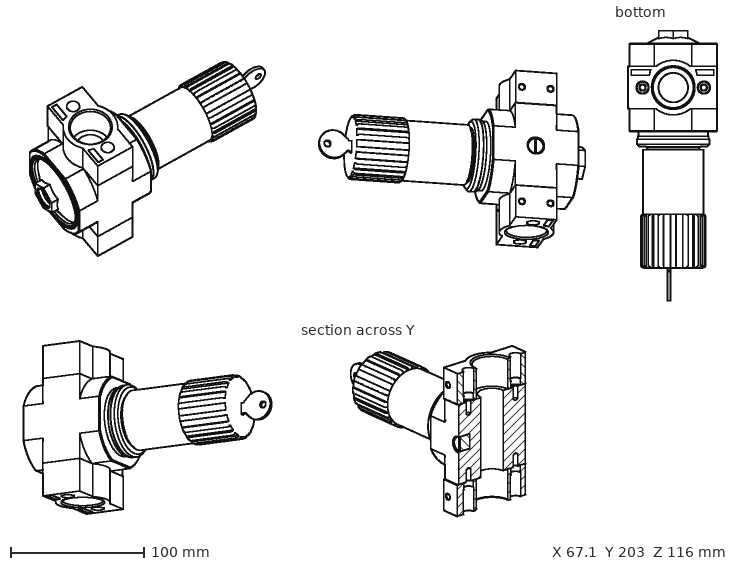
import cadquery as cq
import math


BODY_HALF_X = 33.0
BODY_HALF_Z = 32.7
BODY_HALF_LENGTH = 33.2
BODY_ROUND_RADIUS = 35.6
BODY_EDGE_CHAMFER = 0.8
BAND_HALF_WIDTH = 15.85
FLOW_BORE_DIAMETER = 22.0
COLLAR_DIAMETER = 52.4
COLLAR_TOP_Y = 36.4

OVERALL_HEIGHT = 116.0
PLATE_OVERHANG = 1.1
PLATE_BOSS_RADIUS = 20.5
PLATE_THICKNESS = OVERALL_HEIGHT / 2 - BODY_HALF_Z
PORT_THREAD_DIAMETER = 30.29
PORT_CHAMFER = 1.2
BOLT_OFFSET_X = 23.0
BOLT_COUNTERBORE_DIAMETER = 9.6
BOLT_COUNTERBORE_DEPTH = 20.0
BOLT_BORE_DIAMETER = 8.5
SIDE_HOLE_OFFSET_Y = 11.0
LABEL_OUTER_X = 31.5
LABEL_OUTER_X_SHORT = 30.3
LABEL_INNER_X_TOP = 18.1
LABEL_INNER_X_BOTTOM = 16.8
LABEL_TOP_Y = -9.2
LABEL_BOTTOM_Y = -13.5
LABEL_DEPTH = 0.3

TAP_DIAMETER = 4.13
TAP_MOUTH_DIAMETER = 5.1
TAP_DEPTH = 10.0
DRILL_HALF_ANGLE = math.radians(59)

GAUGE_DIAMETER = 11.45
GAUGE_MOUTH_DIAMETER = 13.16
GAUGE_CHAMFER = (GAUGE_MOUTH_DIAMETER - GAUGE_DIAMETER) / 2
GAUGE_PLUG_LENGTH = 10.0
GAUGE_SLOT_LENGTH = 9.5
GAUGE_SLOT_WIDTH = 1.2
GAUGE_SLOT_DEPTH = 1.0

CAP_RADIUS = 30.5
CAP_EDGE_CHAMFER = 0.6
CAP_RIM_INNER_RADIUS = 28.6
CAP_CONE_BASE_RADIUS = 27.4
CAP_CONE_BASE_Y = -29.3
CAP_CONE_SLOPE = 0.51
CAP_BACK_Y = -25.0
HEX_ACROSS_FLATS = 22.0
HEX_END_Y = -42.8
HEX_PORT_MOUTH_RADIUS = 8.5
HEX_PORT_RADIUS = 7.5
HEX_PORT_DEPTH = 4.0

NUT_RADIUS = 27.35
NUT_TOP_Y = 44.4
NUT_TOP_RADIUS = 25.4
NUT_LIP_Y = 43.7
NUT_LIP_RADIUS = 26.0
NUT_SHOULDER_Y = 42.4
NUT_STEP_Y = 38.9
NUT_SKIRT_RADIUS = 26.7
NUT_TAPER_Y = 37.6
NUT_BASE_RADIUS = 26.5

BONNET_RADIUS = 22.75
BONNET_START_Y = 46.6
NECK_RADIUS = 19.5
NECK_BASE_RADIUS = 20.7
NECK_CONE_TOP_Y = 45.3

KNOB_START_Y = 95.1
KNOB_END_Y = 135.5
KNOB_RADIUS = 24.4
KNOB_FRONT_EDGE_RADIUS = 2.1
KNOB_END_EDGE_RADIUS = 2.6
GROOVE_COUNT = 16
GROOVE_FLOOR_RADIUS = 22.7
GROOVE_WIDTH = 5.3

KEY_END_Y = 160.2
KEY_HEAD_RADIUS = 10.9
KEY_HEAD_Y = KEY_END_Y - KEY_HEAD_RADIUS
KEY_CENTER_X = -3.15
KEY_THICKNESS = 2.5
KEY_HOLE_DIAMETER = 5.0
KEY_HOLE_Y = 153.9
KEY_NECK_TOP_Z = 3.4
KEY_NECK_BOTTOM_Z = -4.5
KEY_SHOULDER_BOTTOM_Z = -5.6
KEY_SHOULDER_LENGTH = 1.6


def cylinder_y(radius, y_start, y_end):
    """Solid cylinder on the regulator axis."""
    base = cq.Workplane("XZ", origin=(0, y_start, 0))
    return base.circle(radius).extrude(y_start - y_end)


def revolve_y(points):
    """Solid turned about the regulator axis from (radius, y) points."""
    return cq.Workplane("XY").polyline(points).close().revolve(360, (0, 0), (0, 1))


def box_between(low, high):
    """Axis-aligned box between two opposite corners."""
    size = [b - a for a, b in zip(low, high)]
    return cq.Workplane("XY").box(*size, centered=False).translate(low)


def chamfered_cutter(plane, radius, mouth_radius, depth, tip=0.0):
    """Hole cutter along -normal of the plane, with a 45 degree mouth and an optional drill tip."""
    chamfer = mouth_radius - radius
    profile = [(0, 0), (mouth_radius, 0), (radius, -chamfer), (radius, -depth), (0, -depth - tip)]
    turned = cq.Workplane("XZ").polyline(profile).close().revolve(360, (0, 0), (0, 1))
    return cq.Workplane(turned.val().moved(cq.Location(plane)))


def tapped_hole_cutter(plane):
    """Cutter for an M5 tapped hole with a conical drill end."""
    radius = TAP_DIAMETER / 2
    tip = radius / math.tan(DRILL_HALF_ANGLE)
    return chamfered_cutter(plane, radius, TAP_MOUTH_DIAMETER / 2, TAP_DEPTH, tip)


def plane_facing(normal, origin):
    """Plane at an origin with the given outward normal."""
    return cq.Plane(origin=origin, xDir=(0, 1, 0), normal=normal)


def make_housing():
    """Flattened round body crossed by a square band, with its collar and bores."""
    barrel = cylinder_y(BODY_ROUND_RADIUS, -BODY_HALF_LENGTH, BODY_HALF_LENGTH)
    envelope = cq.Workplane("XY").box(2 * BODY_HALF_X, 2 * BODY_HALF_LENGTH, 2 * BODY_HALF_Z)
    barrel = barrel.intersect(envelope).faces("<Y or >Y").edges().chamfer(BODY_EDGE_CHAMFER)
    band = cq.Workplane("XY").box(2 * BODY_HALF_X, 2 * BAND_HALF_WIDTH, 2 * BODY_HALF_Z)
    collar = cylinder_y(COLLAR_DIAMETER / 2, 0, COLLAR_TOP_Y)
    housing = barrel.union(band).union(collar)

    flow_bore = cq.Workplane("XY").circle(FLOW_BORE_DIAMETER / 2).extrude(BODY_HALF_Z, both=True)
    cap_pocket = revolve_y([
        (0, CAP_BACK_Y),
        (CAP_RADIUS, CAP_BACK_Y),
        (CAP_RADIUS, CAP_EDGE_CHAMFER - BODY_HALF_LENGTH),
        (CAP_RADIUS + CAP_EDGE_CHAMFER, -BODY_HALF_LENGTH),
        (0, -BODY_HALF_LENGTH),
    ])
    gauge_port = chamfered_cutter(
        plane_facing((-1, 0, 0), (-BODY_HALF_X, 0, 0)),
        GAUGE_DIAMETER / 2,
        GAUGE_MOUTH_DIAMETER / 2,
        GAUGE_CHAMFER + GAUGE_PLUG_LENGTH,
    )
    housing = housing.cut(flow_bore).cut(cap_pocket).cut(gauge_port)
    for side in (-1, 1):
        for x in (-BOLT_OFFSET_X, BOLT_OFFSET_X):
            plane = plane_facing((0, 0, side), (x, 0, side * BODY_HALF_Z))
            housing = housing.cut(tapped_hole_cutter(plane))
    return housing


def label_recess(side, outer_x):
    """Shallow label field beside the port; its inner end slants along the boss."""
    outline = [
        (side * outer_x, LABEL_TOP_Y),
        (side * LABEL_INNER_X_TOP, LABEL_TOP_Y),
        (side * LABEL_INNER_X_BOTTOM, LABEL_BOTTOM_Y),
        (side * outer_x, LABEL_BOTTOM_Y),
    ]
    top = cq.Workplane("XY", origin=(0, 0, OVERALL_HEIGHT / 2))
    return top.polyline(outline).close().extrude(-LABEL_DEPTH)


def make_upper_plate():
    """Connecting plate on the +Z side, with its threaded port and bolt holes."""
    top_z = OVERALL_HEIGHT / 2
    plate = box_between(
        (-BODY_HALF_X - PLATE_OVERHANG, -BAND_HALF_WIDTH, BODY_HALF_Z),
        (BODY_HALF_X, BAND_HALF_WIDTH, top_z),
    )
    base = cq.Workplane("XY", origin=(0, 0, BODY_HALF_Z))
    plate = plate.union(base.circle(PLATE_BOSS_RADIUS).extrude(PLATE_THICKNESS))

    port_radius = PORT_THREAD_DIAMETER / 2
    port_plane = plane_facing((0, 0, 1), (0, 0, top_z))
    plate = plate.cut(
        chamfered_cutter(port_plane, port_radius, port_radius + PORT_CHAMFER, PLATE_THICKNESS)
    )
    plate = (
        plate.faces(">Z").workplane(origin=(0, 0, top_z))
        .pushPoints([(-BOLT_OFFSET_X, 0), (BOLT_OFFSET_X, 0)])
        .cboreHole(BOLT_BORE_DIAMETER, BOLT_COUNTERBORE_DIAMETER, BOLT_COUNTERBORE_DEPTH)
    )
    for y in (-SIDE_HOLE_OFFSET_Y, SIDE_HOLE_OFFSET_Y):
        origin = (-BODY_HALF_X - PLATE_OVERHANG, y, BODY_HALF_Z + PLATE_THICKNESS / 2)
        plate = plate.cut(tapped_hole_cutter(plane_facing((-1, 0, 0), origin)))
    return plate.cut(label_recess(-1, LABEL_OUTER_X)).cut(label_recess(1, LABEL_OUTER_X_SHORT))


def make_gauge_plug():
    """Round plug with a screwdriver slot, seated below the mouth of the gauge port."""
    face_x = -BODY_HALF_X + GAUGE_CHAMFER
    plug = cq.Workplane("YZ", origin=(face_x, 0, 0)).circle(GAUGE_DIAMETER / 2).extrude(GAUGE_PLUG_LENGTH)
    slot = box_between(
        (face_x, -GAUGE_SLOT_WIDTH / 2, -GAUGE_SLOT_LENGTH / 2),
        (face_x + GAUGE_SLOT_DEPTH, GAUGE_SLOT_WIDTH / 2, GAUGE_SLOT_LENGTH / 2),
    )
    return plug.cut(slot)


def make_cap():
    """Dished bottom cap whose central cone carries a hexagon with a blind port."""
    face_y = -BODY_HALF_LENGTH
    hex_inner_radius = HEX_ACROSS_FLATS / 2
    cone_tip_y = CAP_CONE_BASE_Y - CAP_CONE_SLOPE * (CAP_CONE_BASE_RADIUS - hex_inner_radius)
    cap = revolve_y([
        (0, CAP_BACK_Y),
        (CAP_RADIUS, CAP_BACK_Y),
        (CAP_RADIUS, face_y + CAP_EDGE_CHAMFER),
        (CAP_RADIUS - CAP_EDGE_CHAMFER, face_y),
        (CAP_RIM_INNER_RADIUS, face_y),
        (CAP_CONE_BASE_RADIUS, face_y + CAP_RIM_INNER_RADIUS - CAP_CONE_BASE_RADIUS),
        (CAP_CONE_BASE_RADIUS, CAP_CONE_BASE_Y),
        (hex_inner_radius, cone_tip_y),
        (0, cone_tip_y),
    ])
    hex_corner_diameter = HEX_ACROSS_FLATS / math.cos(math.pi / 6)
    hexagon = (
        cq.Workplane("XZ", origin=(0, HEX_END_Y, 0))
        .transformed(rotate=(0, 0, 90))
        .polygon(6, hex_corner_diameter)
        .extrude(HEX_END_Y - CAP_CONE_BASE_Y)
    )
    port_plane = cq.Plane(origin=(0, HEX_END_Y, 0), xDir=(1, 0, 0), normal=(0, -1, 0))
    port = chamfered_cutter(port_plane, HEX_PORT_RADIUS, HEX_PORT_MOUTH_RADIUS, HEX_PORT_DEPTH)
    return cap.union(hexagon).cut(port)


def make_ring_nut():
    """Stepped ring nut that clamps the bonnet to the housing collar."""
    return revolve_y([
        (NECK_BASE_RADIUS, COLLAR_TOP_Y),
        (NUT_BASE_RADIUS, COLLAR_TOP_Y),
        (NUT_SKIRT_RADIUS, NUT_TAPER_Y),
        (NUT_SKIRT_RADIUS, NUT_STEP_Y),
        (NUT_RADIUS, NUT_STEP_Y),
        (NUT_RADIUS, NUT_SHOULDER_Y),
        (NUT_LIP_RADIUS, NUT_LIP_Y),
        (NUT_TOP_RADIUS, NUT_TOP_Y),
        (NECK_BASE_RADIUS, NUT_TOP_Y),
    ])


def make_bonnet():
    """Spring bonnet with a narrower neck that passes through the ring nut."""
    return revolve_y([
        (0, COLLAR_TOP_Y),
        (NECK_BASE_RADIUS, COLLAR_TOP_Y),
        (NECK_BASE_RADIUS, NUT_TOP_Y),
        (NECK_RADIUS, NECK_CONE_TOP_Y),
        (NECK_RADIUS, BONNET_START_Y),
        (BONNET_RADIUS, BONNET_START_Y),
        (BONNET_RADIUS, KNOB_START_Y),
        (0, KNOB_START_Y),
    ])


def make_knob():
    """Round-edged knob with lengthwise grip grooves all around."""
    knob = cylinder_y(KNOB_RADIUS, KNOB_START_Y, KNOB_END_Y)
    knob = knob.faces("<Y").edges().fillet(KNOB_FRONT_EDGE_RADIUS)
    knob = knob.faces(">Y").edges().fillet(KNOB_END_EDGE_RADIUS)
    pitch = 360 / GROOVE_COUNT
    groove = box_between(
        (0, KNOB_START_Y, -GROOVE_WIDTH / 2),
        (2 * KNOB_RADIUS, KNOB_END_Y, GROOVE_WIDTH / 2),
    ).cut(cylinder_y(GROOVE_FLOOR_RADIUS, KNOB_START_Y, KNOB_END_Y))
    for index in range(GROOVE_COUNT):
        knob = knob.cut(groove.rotate((0, 0, 0), (0, 1, 0), (index + 0.5) * pitch))
    return knob


def make_key():
    """Flat key standing on the knob end: round head, tapered throat and offset neck."""
    plane = cq.Workplane("YZ", origin=(KEY_CENTER_X - KEY_THICKNESS / 2, 0, 0))
    tangent = KEY_HEAD_RADIUS * math.sqrt(0.5)
    corner_y = KEY_HEAD_Y - KEY_HEAD_RADIUS * math.sqrt(2)
    shoulder_y = KNOB_END_Y + KEY_SHOULDER_LENGTH
    throat = plane.polyline([
        (KEY_HEAD_Y, 0),
        (KEY_HEAD_Y - tangent, tangent),
        (corner_y + KEY_NECK_TOP_Z, KEY_NECK_TOP_Z),
        (KNOB_END_Y, KEY_NECK_TOP_Z),
        (KNOB_END_Y, KEY_SHOULDER_BOTTOM_Z),
        (shoulder_y, KEY_NECK_BOTTOM_Z),
        (corner_y - KEY_NECK_BOTTOM_Z, KEY_NECK_BOTTOM_Z),
        (KEY_HEAD_Y - tangent, -tangent),
    ]).close().extrude(KEY_THICKNESS)
    head = plane.center(KEY_HEAD_Y, 0).circle(KEY_HEAD_RADIUS).extrude(KEY_THICKNESS)
    hole = plane.center(KEY_HOLE_Y, 0).circle(KEY_HOLE_DIAMETER / 2).extrude(KEY_THICKNESS)
    return head.union(throat).cut(hole)


housing = make_housing()
upper_plate = make_upper_plate()
lower_plate = upper_plate.mirror("XY")
gauge_plug = make_gauge_plug()
cap = make_cap()
ring_nut = make_ring_nut()
bonnet = make_bonnet()
knob = make_knob()
key = make_key()

bodies = [housing, upper_plate, lower_plate, gauge_plug, cap, ring_nut, bonnet, knob, key]
result = cq.Compound.makeCompound([body.val() for body in bodies])